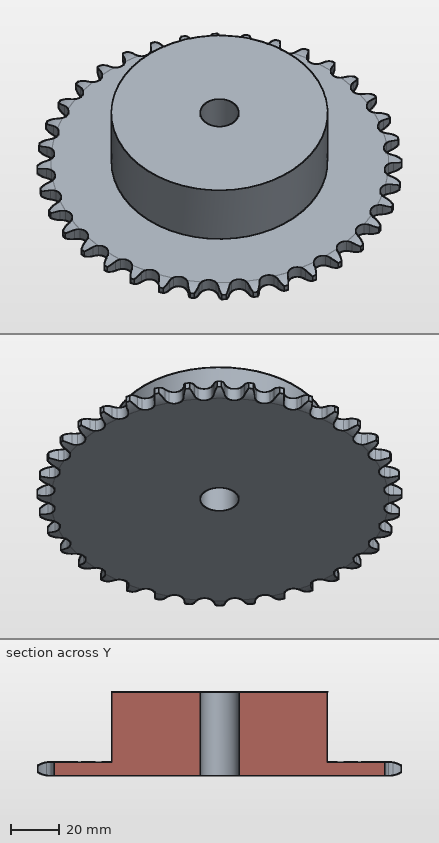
import cadquery as cq
import math

total_height = 35.0
hub_diameter = 90.0
bore_diameter = 16.0

overall_width = 151.3
tooth_count = 36
tip_width = 1.8
plate_thickness = 5.9
root_radius = 68.8
shoulder_radius = 70.2
tip_relief = 1.5

seat_radius = 4.0
seat_angle = 48
working_radius = 5.1
working_angle = 26
flank_sweep = 32

tooth_angle = 360 / tooth_count
tip_half_angle = math.asin(tip_width / overall_width)
corner_angle = math.radians(tooth_angle / 2) - tip_half_angle
tip_radius = overall_width / 2 / math.cos(corner_angle)


def point_on_arc(center, radius, angle):
    """Point on a gap arc, with the angle in degrees measured from the inward -X direction."""
    turn = math.radians(angle)
    return (center[0] - radius * math.cos(turn), center[1] + radius * math.sin(turn))


def make_gap():
    """Cutter for one roller gap, symmetric about the +X axis and taller than the plate."""
    seat_center = (root_radius + seat_radius, 0)
    seat_middle = point_on_arc(seat_center, seat_radius, seat_angle / 2)
    seat_end = point_on_arc(seat_center, seat_radius, seat_angle)

    working_center = point_on_arc(seat_center, seat_radius - working_radius, seat_angle)
    flank_start_angle = seat_angle + working_angle
    flank_start = point_on_arc(working_center, working_radius, flank_start_angle)

    tip_corner = (tip_radius * math.cos(corner_angle), tip_radius * math.sin(corner_angle))
    run = (tip_corner[0] - flank_start[0], tip_corner[1] - flank_start[1])
    inward = point_on_arc((0, 0), 1, flank_start_angle)
    flank_radius = (run[0] ** 2 + run[1] ** 2) / (2 * (run[0] * inward[0] + run[1] * inward[1]))
    flank_center = point_on_arc(flank_start, flank_radius, flank_start_angle)

    flank_end = point_on_arc(flank_center, -flank_radius, flank_start_angle - flank_sweep)
    outer_x = tip_radius + seat_radius

    half_gap = (
        cq.Workplane("XY")
        .moveTo(root_radius, 0)
        .threePointArc(seat_middle, seat_end)
        .tangentArcPoint(flank_start, relative=False)
        .tangentArcPoint(flank_end, relative=False)
        .lineTo(outer_x, flank_end[1])
        .lineTo(outer_x, 0)
        .close()
        .extrude(plate_thickness, both=True)
        .translate((0, 0, plate_thickness / 2))
    )
    return half_gap.union(half_gap.mirror("XZ"))


def make_blank():
    """Plate without gaps: a solid of revolution whose two faces curve inwards from the shoulder circle to the tip circle."""
    relief_length = tip_radius - shoulder_radius
    relief_radius = (relief_length**2 + tip_relief**2) / (2 * tip_relief)
    half_angle = math.asin(relief_length / relief_radius) / 2
    middle_radius = shoulder_radius + relief_radius * math.sin(half_angle)
    middle_relief = relief_radius * (1 - math.cos(half_angle))
    return (
        cq.Workplane("XZ")
        .lineTo(shoulder_radius, 0)
        .threePointArc((middle_radius, middle_relief), (tip_radius, tip_relief))
        .lineTo(tip_radius, plate_thickness - tip_relief)
        .threePointArc((middle_radius, plate_thickness - middle_relief), (shoulder_radius, plate_thickness))
        .lineTo(0, plate_thickness)
        .close()
        .revolve(360, (0, 0, 0), (0, 1, 0))
    )


def make_toothed_plate():
    """Blank with a roller gap cut at every tooth pitch."""
    plate = make_blank()
    gap = make_gap()
    for index in range(tooth_count):
        plate = plate.cut(gap.rotate((0, 0, 0), (0, 0, 1), index * tooth_angle))
    return plate


plate = make_toothed_plate()
hub = cq.Workplane("XY").circle(hub_diameter / 2).extrude(total_height)
bore = cq.Workplane("XY").circle(bore_diameter / 2).extrude(total_height)
result = plate.union(hub).cut(bore)